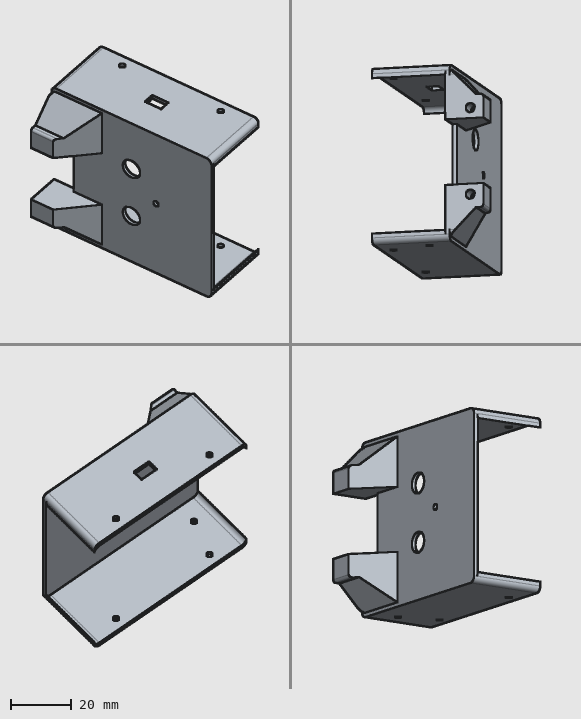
import cadquery as cq

length = 65.0
height = 59.0
total_depth = 38.0
wall = 1.5
corner_radius = 2.0
bracket_reach = 11.5

back_y = total_depth / 2
bracket_front_y = -total_depth / 2
plate_front_y = bracket_front_y + bracket_reach
plate_back_y = plate_front_y + wall
channel_depth = back_y - plate_front_y
left_x = -length / 2
inner_top_z = height / 2 - wall

bracket_length = 20.55
bracket_inner_z = 11.0
bracket_step_z = 19.0
bracket_edge_radius = 1.0
bracket_right_x = left_x + bracket_length
bracket_tip_x = bracket_right_x - bracket_reach
pin_diameter = 3.0
pin_depth = 6.5
pin_z = 14.5
pin_y = bracket_front_y + 4.5

screw_diameter = 2.0
plate_hole_diameter = 7.0
plate_hole_z = 10.0
plate_screw_x = 10.0
wall_screw_x = 20.0
wall_screw_y = back_y - 4.0
slot_length = 6.5
slot_width = 4.0
slot_x = 0.25
slot_y = back_y - 12.7
floor_hole_x = -24.65
floor_hole_y = 1.5


def rounded_bar(bar_height, front_y, back_y):
    """Full-length bar along Y whose four long edges are rounded."""
    bar = cq.Workplane("XZ", origin=(0, back_y, 0)).rect(length, bar_height).extrude(back_y - front_y)
    return bar.edges("|Y").fillet(corner_radius)


def make_channel():
    """Front plate with a top and a bottom wall whose curled ends taper to an edge."""
    outer = rounded_bar(height, plate_front_y, back_y)
    cavity = rounded_bar(2 * inner_top_z, plate_back_y, back_y)
    notch = cq.Workplane("XY").box(
        bracket_tip_x - left_x, channel_depth, 2 * bracket_inner_z, centered=(False, False, True)
    ).translate((left_x, plate_front_y, 0))
    return outer.cut(cavity).cut(notch)


def make_upper_bracket():
    """Block with a sloped top, a mitred right end and a blind pin hole."""
    slope_run = inner_top_z - bracket_step_z
    side_profile = [
        (plate_back_y, bracket_inner_z),
        (bracket_front_y, bracket_inner_z),
        (bracket_front_y, bracket_step_z),
        (plate_front_y - slope_run, bracket_step_z),
        (plate_front_y, inner_top_z),
        (plate_back_y, inner_top_z),
    ]
    block = cq.Workplane("YZ", origin=(left_x, 0, 0)).polyline(side_profile).close().extrude(bracket_length)
    front_top_edge = cq.selectors.NearestToPointSelector(
        (left_x + bracket_length / 2, bracket_front_y, bracket_step_z)
    )
    block = block.edges(front_top_edge).fillet(bracket_edge_radius)

    plan_profile = [
        (left_x, plate_back_y),
        (left_x, bracket_front_y),
        (bracket_tip_x, bracket_front_y),
        (bracket_right_x, plate_front_y),
        (bracket_right_x, plate_back_y),
    ]
    plan = cq.Workplane("XY").polyline(plan_profile).close().extrude(inner_top_z)
    envelope = rounded_bar(2 * inner_top_z, bracket_front_y, plate_back_y)
    pin_hole = (
        cq.Workplane("YZ", origin=(left_x, 0, 0))
        .center(pin_y, pin_z)
        .circle(pin_diameter / 2)
        .extrude(pin_depth)
    )
    return block.intersect(plan).intersect(envelope).cut(pin_hole)


def plate_hole(x, z, diameter):
    """Cutter through the front plate."""
    return (
        cq.Workplane("XZ", origin=(0, plate_back_y, 0)).center(x, z).circle(diameter / 2).extrude(wall)
    )


def floor_hole_cutter():
    """Cutter through the bottom wall beside the lower bracket."""
    return (
        cq.Workplane("XY", origin=(0, 0, -height / 2))
        .center(floor_hole_x, floor_hole_y)
        .circle(screw_diameter / 2)
        .extrude(wall)
    )


upper_bracket = make_upper_bracket()
lower_bracket = upper_bracket.mirror("XY")
result = make_channel().union(upper_bracket).union(lower_bracket)

for z in (plate_hole_z, -plate_hole_z):
    result = result.cut(plate_hole(0, z, plate_hole_diameter))
result = result.cut(plate_hole(plate_screw_x, 0, screw_diameter))

wall_screws = (
    cq.Workplane("XY", origin=(0, 0, -height / 2))
    .pushPoints([(-wall_screw_x, wall_screw_y), (wall_screw_x, wall_screw_y)])
    .circle(screw_diameter / 2)
    .extrude(height)
)
result = result.cut(wall_screws)

slot = cq.Workplane("XY").box(slot_length, slot_width, wall, centered=(True, True, False))
result = result.cut(slot.translate((slot_x, slot_y, inner_top_z)))

result = result.cut(floor_hole_cutter())